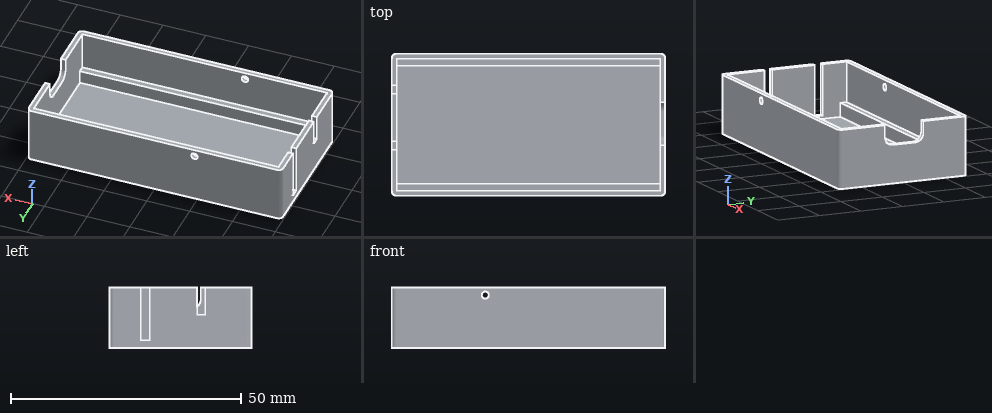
import cadquery as cq

length = 59.4
width = 30.9
height = 13.2
wall = 1.1
floor = 1.0
corner_radius = 1.0

rail_width = 1.5
rail_height = 3.15

hole_diameter = 1.5
hole_x = -9.4
hole_drop = 1.65

end_slots = [
    (7.65, 1.9, 11.45),
    (-4.5, 1.8, 5.95),
]

notch_y = 0.25
notch_width = 9.25
notch_depth = 4.6
notch_radius = 2.0

inner_length = length - 2 * wall
inner_width = width - 2 * wall


def box_on(x, y, z, size_x, size_y, size_z):
    """Box centred at x, y and standing on height z."""
    return cq.Workplane("XY").box(size_x, size_y, size_z, centered=(True, True, False)).translate((x, y, z))


def rim_cut(wall_side, y, cut_width, depth):
    """Open-topped cutter through the end wall on side -1 or +1."""
    wall_x = wall_side * (length - wall) / 2
    return box_on(wall_x, y, height - depth, wall, cut_width, depth)


tray = box_on(0, 0, 0, length, width, height).edges("|Z").fillet(corner_radius)
tray = tray.cut(box_on(0, 0, floor, inner_length, inner_width, height - floor))

for side in (-1, 1):
    rail_y = side * (inner_width - rail_width) / 2
    tray = tray.union(box_on(0, rail_y, floor, inner_length, rail_width, rail_height))

for slot_y, slot_width, slot_depth in end_slots:
    tray = tray.cut(rim_cut(-1, slot_y, slot_width, slot_depth))

notch = rim_cut(1, notch_y, notch_width, notch_depth).edges("|X and <Z").fillet(notch_radius)
tray = tray.cut(notch)

hole = (
    cq.Workplane("XZ")
    .center(hole_x, height - hole_drop)
    .circle(hole_diameter / 2)
    .extrude(width / 2, both=True)
)
result = tray.cut(hole)